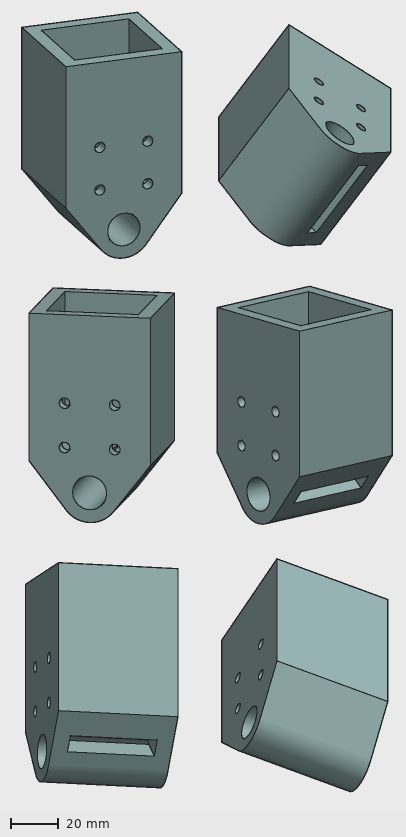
import cadquery as cq
import math

width = 52.1
height = 88.9
nose_radius = 12.8
shoulder_height = 2 * nose_radius

socket_side = 39.4
socket_floor = shoulder_height

pivot_diameter = 14.5
screw_diameter = 4.5
screw_spacing_y = 21.5
screw_spacing_z = 19.0
lower_screw_height = 31.8

slot_width = 37.85
slot_front_y = -5.2
slot_back_y = 7.2

half_width = width / 2
pivot_height = nose_radius

shoulder_rise = shoulder_height - pivot_height
shoulder_distance = math.hypot(half_width, shoulder_rise)
taper_angle = math.acos(nose_radius / shoulder_distance) - math.atan2(shoulder_rise, half_width)


def make_body():
    """Block whose lower end tapers tangentially into a round nose."""
    tangent_y = nose_radius * math.cos(taper_angle)
    tangent_z = pivot_height - nose_radius * math.sin(taper_angle)
    return (
        cq.Workplane("YZ")
        .moveTo(-half_width, height)
        .lineTo(-half_width, shoulder_height)
        .lineTo(-tangent_y, tangent_z)
        .threePointArc((0, 0), (tangent_y, tangent_z))
        .lineTo(half_width, shoulder_height)
        .lineTo(half_width, height)
        .close()
        .extrude(half_width, both=True)
    )


def make_socket():
    depth = height - socket_floor
    return cq.Workplane("XY").workplane(offset=socket_floor).rect(socket_side, socket_side).extrude(depth)


def make_slot():
    """Slot running down towards +Y, square to the +Y taper and extended past it."""
    run = half_width
    drop = run * math.tan(taper_angle)
    return (
        cq.Workplane("YZ")
        .moveTo(slot_front_y, socket_floor)
        .lineTo(slot_back_y, socket_floor)
        .lineTo(slot_back_y + run, socket_floor - drop)
        .lineTo(slot_front_y + run, socket_floor - drop)
        .close()
        .extrude(slot_width / 2, both=True)
    )


def cross_hole(y, z, diameter):
    """Cylinder along X through the full width of the part."""
    return cq.Workplane("YZ", origin=(-half_width, y, z)).circle(diameter / 2).extrude(width)


result = make_body().cut(make_socket()).cut(make_slot())
result = result.cut(cross_hole(0, pivot_height, pivot_diameter))
for screw_y in (-screw_spacing_y / 2, screw_spacing_y / 2):
    for screw_z in (lower_screw_height, lower_screw_height + screw_spacing_z):
        result = result.cut(cross_hole(screw_y, screw_z, screw_diameter))